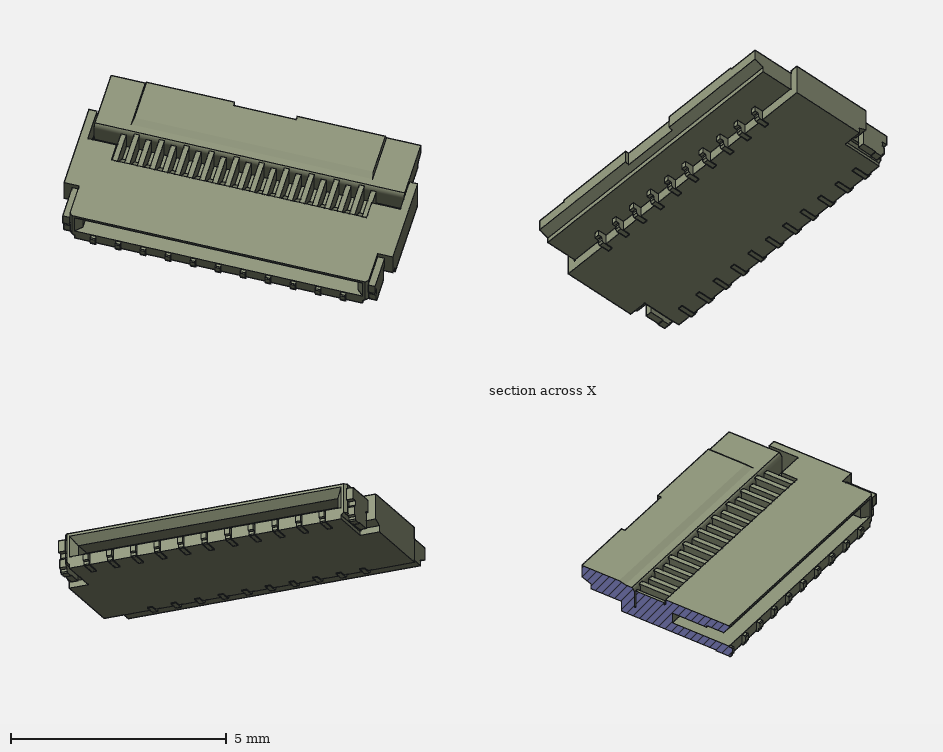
import cadquery as cq


housing_half = 3.95
housing_rear = 3.01
housing_bottom = 0.02
housing_top = 0.9
nose_half = 3.59
shoulder_y = 0.85
nose_chamfer = 0.06
keel_half = 3.46
keel_top = 0.18
keel_bevel = 0.06
undercut_rear = 1.06
undercut_top = 0.27

floor_z = 0.31
mouth_half = 3.46
mouth_top = 0.83
throat_half = 3.3
throat_top = 0.625
lead_in_depth = 0.16
ceiling_step_y = 0.63
slot_end_y = 1.58
slot_end_top = 0.58

pocket_half = 3.75
pocket_front = 2.205
window_front = 1.77
ramp_top = 0.775
ramp_bottom = 0.39

actuator_half = 3.72
actuator_front = 2.63
actuator_rear = 4.11
actuator_top = 0.85
actuator_round_depth = 0.08
actuator_round_height = 0.14
rear_step_y = 3.855
rear_step_z = 0.45
rear_slope_top = 0.55
notch_half = 0.75
notch_depth = 0.095

plate_half = 2.9
plate_side_bevel = 0.03
plate_front = 2.88
plate_front_bevel = 0.17

pitch = 0.6
contact_width = 0.13
front_count = 11
rear_count = front_count - 1
window_half = ((front_count - 1) * pitch + contact_width) / 2
front_beam_start = 1.82
front_beam_end = 2.61
front_beam_top = 0.8
rear_beam_top = 0.82

tail_thickness = 0.08
tail_chamfer = 0.02
front_tail_root = 0.08
front_tail_tip = -0.095
front_tail_knee = -0.05
front_tail_pad_end = 0.37
front_tail_top = 0.285
front_tail_lip = 0.12
rear_tail_root = 2.92
rear_tail_tip = 3.25
rear_tail_knee = 3.145
rear_tail_pad_end = 2.82
rear_tail_lip = 0.15
rear_tail_bend = 0.05

clip_top = 0.775
clip_front = 0.02
clip_foot_rear = 0.76
clip_arm_bottom = 0.47
clip_arm_chamfer = 0.03
clip_pad_rear = 0.38
clip_pad_chamfer = 0.03
clip_notch_y = 0.16
clip_notch_top = 0.49
clip_nub_y = 0.1
clip_nub_shoulder = 0.38
clip_nub_top = 0.32
clip_nub_bottom = 0.13
clip_nub_taper_bottom = 0.095


def box(x0, x1, y0, y1, z0, z1):
    """Axis-aligned block between the given limits."""
    return cq.Workplane("XY").box(x1 - x0, y1 - y0, z1 - z0, centered=False).translate((x0, y0, z0))


def centred_box(half, y0, y1, z0, z1):
    """Block symmetric about X = 0."""
    return box(-half, half, y0, y1, z0, z1)


def side_profile(points, x0, x1):
    """Outline of (y, z) points extruded from x0 to x1."""
    return cq.Workplane("YZ").polyline(points).close().extrude(x1 - x0).translate((x0, 0, 0))


def both_sides(solid):
    """The solid together with its mirror image about X = 0."""
    return solid.union(solid.mirror("YZ"))


def housing_blank():
    nose = centred_box(nose_half, 0, shoulder_y, housing_bottom, housing_top)
    nose = nose.edges("|Z and <Y").chamfer(nose_chamfer)
    main = centred_box(housing_half, shoulder_y, housing_rear, housing_bottom, housing_top)
    return nose.union(main)


def keel_relief():
    """Space beside the narrow keel, and the sloped undercut of the shoulder."""
    beside_keel = (
        cq.Workplane("XZ")
        .polyline([
            (keel_half, 0),
            (keel_half, keel_top - keel_bevel),
            (keel_half + keel_bevel, keel_top),
            (housing_half, keel_top),
            (housing_half, 0),
        ])
        .close()
        .extrude(-undercut_rear)
    )
    slope = side_profile(
        [(shoulder_y, keel_top), (shoulder_y, undercut_top), (undercut_rear, keel_top)],
        nose_half, housing_half,
    )
    return both_sides(beside_keel.union(slope))


def cable_slot():
    """Slot with a lead-in on its top and sides and a flat floor."""
    mouth_height = mouth_top - floor_z
    throat_height = throat_top - floor_z
    lead_in = (
        cq.Workplane("XZ", origin=(0, 0, floor_z))
        .center(0, mouth_height / 2)
        .rect(2 * mouth_half, mouth_height)
        .workplane(offset=-lead_in_depth)
        .center(0, (throat_height - mouth_height) / 2)
        .rect(2 * throat_half, throat_height)
        .loft(combine=True)
    )
    throat = centred_box(throat_half, lead_in_depth, ceiling_step_y, floor_z, throat_top)
    slot_end = centred_box(throat_half, ceiling_step_y, slot_end_y, floor_z, slot_end_top)
    return lead_in.union(throat).union(slot_end)


def rear_pocket():
    """Actuator pocket plus the contact window with its sloping front wall."""
    pocket = centred_box(pocket_half, pocket_front, housing_rear, floor_z, housing_top)
    window = side_profile(
        [
            (window_front, housing_top),
            (window_front, ramp_top),
            (pocket_front, ramp_bottom),
            (pocket_front, housing_top),
        ],
        -window_half, window_half,
    )
    return pocket.union(window)


def actuator():
    body = (
        cq.Workplane("YZ", origin=(-actuator_half, 0, 0))
        .moveTo(actuator_front, floor_z)
        .lineTo(actuator_front, actuator_top - actuator_round_height)
        .tangentArcPoint((actuator_front + actuator_round_depth, actuator_top), relative=False)
        .lineTo(actuator_rear, actuator_top)
        .lineTo(actuator_rear, rear_slope_top)
        .lineTo(rear_step_y, rear_step_z)
        .lineTo(rear_step_y, floor_z)
        .close()
        .extrude(2 * actuator_half)
    )

    base_length = actuator_rear - plate_front
    plate = (
        cq.Workplane("XY", origin=(0, plate_front + base_length / 2, actuator_top))
        .rect(2 * plate_half, base_length)
        .workplane(offset=housing_top - actuator_top)
        .center(0, plate_front_bevel / 2)
        .rect(2 * (plate_half - plate_side_bevel), base_length - plate_front_bevel)
        .loft(combine=True)
    )
    notch = centred_box(notch_half, actuator_rear - notch_depth, actuator_rear, 0, housing_top)
    return body.union(plate).cut(notch)


def front_contact(x):
    """Beam in the window and a solder tail under the mating face."""
    x0 = x - contact_width / 2
    x1 = x + contact_width / 2
    beam = box(x0, x1, front_beam_start, front_beam_end, floor_z, front_beam_top)
    tail = side_profile(
        [
            (front_tail_root, floor_z),
            (0, floor_z),
            (0, front_tail_top),
            (front_tail_tip + tail_chamfer, front_tail_top),
            (front_tail_tip, front_tail_top - tail_chamfer),
            (front_tail_tip, front_tail_lip),
            (front_tail_knee, front_tail_lip - tail_chamfer),
            (front_tail_knee, tail_chamfer),
            (front_tail_knee + tail_chamfer, 0),
            (front_tail_pad_end, 0),
            (front_tail_pad_end, tail_thickness),
            (front_tail_root, tail_thickness),
        ],
        x0, x1,
    )
    return beam.union(tail)


def rear_contact(x):
    """Taller beam in the window and a solder tail behind the housing."""
    x0 = x - contact_width / 2
    x1 = x + contact_width / 2
    beam = box(x0, x1, window_front, actuator_front + actuator_round_depth, floor_z, rear_beam_top)
    tail = side_profile(
        [
            (rear_tail_root, floor_z),
            (rear_tail_tip, floor_z),
            (rear_tail_tip, rear_tail_lip),
            (rear_tail_knee + tail_chamfer, rear_tail_lip),
            (rear_tail_knee, rear_tail_lip - tail_chamfer),
            (rear_tail_knee, rear_tail_bend),
            (rear_tail_knee - rear_tail_bend, 0),
            (rear_tail_pad_end, 0),
            (rear_tail_pad_end, tail_thickness),
            (rear_tail_root, tail_thickness),
        ],
        x0, x1,
    )
    return beam.union(tail)


def solder_clips():
    clip = side_profile(
        [
            (clip_front, clip_top),
            (clip_front, clip_notch_top),
            (clip_notch_y, clip_notch_top),
            (clip_notch_y, clip_nub_shoulder),
            (clip_nub_y, clip_nub_top),
            (clip_nub_y, clip_nub_bottom),
            (clip_notch_y, clip_nub_taper_bottom),
            (clip_notch_y, clip_pad_chamfer),
            (clip_notch_y + clip_pad_chamfer, 0),
            (clip_pad_rear, 0),
            (clip_pad_rear, housing_bottom),
            (clip_foot_rear, housing_bottom),
            (clip_foot_rear, clip_arm_bottom - clip_arm_chamfer),
            (clip_foot_rear + clip_arm_chamfer, clip_arm_bottom),
            (shoulder_y, clip_arm_bottom),
            (shoulder_y, clip_top),
        ],
        nose_half, pocket_half,
    )
    return both_sides(clip)


def row_positions(count):
    """X places of a contact row centred on X = 0."""
    return [(i - (count - 1) / 2) * pitch for i in range(count)]


result = housing_blank().cut(keel_relief()).cut(cable_slot()).cut(rear_pocket())
result = result.union(actuator()).union(solder_clips())
for x in row_positions(front_count):
    result = result.union(front_contact(x))
for x in row_positions(rear_count):
    result = result.union(rear_contact(x))